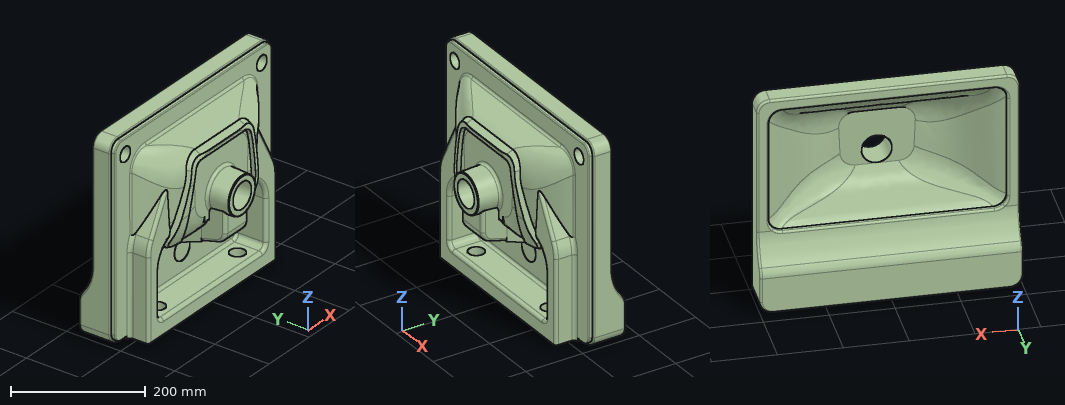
import cadquery as cq
import math


margin = 0.5

width = 400.0
height = 350.0
total_depth = 154.0
rim_y = 40.0
deck_y = 64.0
corner_radius = 20.0
top_edge_round = 3.5
hollow_radius = 80.0
crest_radius = 24.0
curve_top_z = 127.0
lip_inset = 4.0
lip_depth = 7.0
lip_overlap = 4.0
lip_edge_round = 1.5

frame_half_width = 160.0
frame_depth = 35.0
frame_shoulder_z = 162.0
frame_shoulder_radius = 60.0
frame_base_round = 6.5
frame_edge_round = 5.0
wing_tip_x = 115.0
wing_tip_z = 246.0
wing_root_x = 80.0

pocket_half_width = 133.5
pocket_bottom_z = 29.0
pocket_top_z = 162.0
pocket_floor_y = 21.0
pocket_bottom_radius = 10.5
pocket_top_radius = 48.0
pocket_mouth_round = 6.0
pocket_floor_round = 5.0

bowl_sections = [
    (23.0, 172.0, 172.0, 120.0, 319.0, 30.0),
    (0.0, 157.5, 157.5, 128.0, 313.0, 32.0),
    (-24.0, 132.0, 126.0, 134.0, 303.5, 44.0),
    (-42.0, 104.0, 90.0, 148.0, 289.5, 44.0),
    (-51.0, 68.0, 64.0, 168.0, 276.0, 32.0),
]
bowl_bottom_y = bowl_sections[-1][0]
bowl_base_round = 5.0
bowl_wall = 9.0
mouth_radius = 20.0
mouth_depth_y = 32.0
mouth_half_width = 181.0
mouth_bottom_z = 124.0
mouth_top_z = 330.0

ring_height = 5.0
ring_width = 7.0
ring_draft = 25.0
ring_depth = 28.0
ring_top_z = 282.5
ring_top_half_width = 73.0
ring_bottom_z = 150.0
ring_bottom_half_width = 100.0
ring_corner_radius = 22.0

drain_z = 200.0
drain_radius = 23.0
spigot_base_radius = 35.5
spigot_end_radius = 33.5
spigot_end_y = deck_y - total_depth
spigot_flange_round = 5.0
spigot_end_chamfer = 1.0
channel_half_width = 29.0
channel_face_y = -80.0
channel_elbow_z = 127.5
channel_foot_z = 101.0
channel_elbow_radius = 20.0
channel_edge_round = 6.0
channel_foot_half_width = 40.5
channel_flare_y = -36.0

tap_spacing = 100.0
tap_radius = 19.0
tap_z = 71.0
tap_mark_depth = 0.5
wall_hole_radius = 13.0
wall_hole_y = -7.0
corner_hole_x = 170.5
corner_hole_z = 318.0
corner_hole_radius = 13.0
corner_hole_depth = 18.0


def xz_plane(y):
    """Sketch plane at depth y: local x is X, local y is Z, extrusion runs toward -Y."""
    return cq.Workplane("XZ", origin=(0, y, 0))


def rounded_prism(y, half_width, z_low, z_high, radius, depth):
    """Rounded rectangle in the XZ plane, extruded from y toward -Y."""
    prism = xz_plane(y).center(0, (z_low + z_high) / 2).rect(2 * half_width, z_high - z_low)
    return prism.extrude(depth).edges("|Y").fillet(radius)


def bowl_body(sections):
    """Smooth solid through rounded trapezoids stacked along Y."""
    wires = []
    for y, top_half_width, bottom_half_width, z_low, z_high, radius in sections:
        corners = [
            (-bottom_half_width, z_low),
            (bottom_half_width, z_low),
            (top_half_width, z_high),
            (-top_half_width, z_high),
        ]
        slice_body = xz_plane(y).polyline(corners).close().extrude(4).edges("|Y").fillet(radius)
        wires.append(slice_body.faces(">Y").wires().val())
    return cq.Workplane(cq.Solid.makeLoft(wires, False))


def grown(sections, growth):
    """Bowl sections moved outward by growth (inward when negative)."""
    return [
        (
            y - growth,
            top_half_width + growth,
            bottom_half_width + growth,
            z_low - growth,
            z_high + growth,
            radius + growth,
        )
        for y, top_half_width, bottom_half_width, z_low, z_high, radius in sections
    ]


def box_region(half_x, y_low, y_high, z_low, z_high):
    """Selects what is centred between X, Y and Z limits, symmetric in X."""
    return cq.selectors.BoxSelector((-half_x, y_low, z_low), (half_x, y_high, z_high))


def upper_edges(plate):
    """Edges of the rim and deck faces, without the lines where the deck curve meets them."""
    edges = []
    for edge in plate.edges("not |Y").vals():
        middle = edge.Center()
        runs_along_x = edge.geomType() == "LINE" and abs(edge.tangentAt(0).x) > 0.99
        across_side_rim = runs_along_x and abs(middle.x) > mouth_half_width
        if middle.y > rim_y - margin and not across_side_rim:
            edges.append(edge)
    return edges


def make_rim():
    """Rim plate that curves up to the tap deck, with a smaller lip underneath."""
    rise = deck_y - rim_y
    turn = math.acos(1 - rise / (hollow_radius + crest_radius))
    inflection = (
        rim_y + hollow_radius * (1 - math.cos(turn)),
        curve_top_z - hollow_radius * math.sin(turn),
    )
    deck_edge_z = inflection[1] - crest_radius * math.sin(turn)
    profile = (
        cq.Workplane("YZ", origin=(-width / 2, 0, 0))
        .moveTo(lip_depth, 0)
        .lineTo(lip_depth, height)
        .lineTo(rim_y, height)
        .lineTo(rim_y, curve_top_z)
        .tangentArcPoint(inflection, relative=False)
        .tangentArcPoint((deck_y, deck_edge_z), relative=False)
        .lineTo(deck_y, 0)
        .close()
        .extrude(width)
    )
    outline = rounded_prism(deck_y, width / 2, 0, height, corner_radius, deck_y - lip_depth)
    mouth = rounded_prism(
        deck_y, mouth_half_width, mouth_bottom_z, mouth_top_z, mouth_radius, deck_y - mouth_depth_y
    )
    plate = profile.intersect(outline)
    plate = plate.faces("<Y").edges().fillet(lip_edge_round)
    plate = plate.cut(mouth)
    plate = plate.newObject(upper_edges(plate)).fillet(top_edge_round)
    lip = rounded_prism(
        lip_depth + lip_overlap,
        width / 2 - lip_inset,
        lip_inset,
        height - lip_inset,
        corner_radius - lip_inset,
        lip_depth + lip_overlap,
    )
    lip = lip.faces("<Y").edges().fillet(lip_edge_round)
    return plate.union(lip)


def make_frame():
    """Support frame with two wings that run up the flanks of the bowl."""
    half_outline = [
        (frame_half_width, 0),
        (frame_half_width, frame_shoulder_z),
        (wing_tip_x, wing_tip_z),
        (wing_root_x, frame_shoulder_z),
    ]
    mirrored = [(-x, z) for x, z in reversed(half_outline)]
    frame = xz_plane(0).polyline(half_outline + mirrored).close().extrude(frame_depth)
    shoulder_height = box_region(width, -width, width, frame_shoulder_z - 4, frame_shoulder_z + 4)
    between_wings = box_region(wing_tip_x, -width, width, 0, height)
    frame = frame.edges("|Y").edges(shoulder_height - between_wings).fillet(frame_shoulder_radius)
    skirt_width = 2 * (frame_half_width + frame_base_round + margin)
    skirt = xz_plane(lip_depth).rect(skirt_width, wing_tip_z, centered=(True, False)).extrude(lip_depth)
    frame = frame.union(skirt)
    foot = box_region(frame_half_width + margin, -margin, margin, margin, height)
    frame = frame.edges(foot).fillet(frame_base_round)
    flanks = box_region(width, -width, 0, margin, height)
    flanks = flanks - box_region(wing_tip_x, -width, 0, margin, height)
    return frame.faces("<Y").edges(flanks).fillet(frame_edge_round)


def make_pocket():
    """Space below the bowl, open toward -Y, with a rounded floor edge."""
    pocket = (
        xz_plane(pocket_floor_y)
        .center(0, (pocket_bottom_z + pocket_top_z) / 2)
        .rect(2 * pocket_half_width, pocket_top_z - pocket_bottom_z)
        .extrude(frame_depth + pocket_floor_y)
    )
    pocket = pocket.edges("|Y and <Z").fillet(pocket_bottom_radius)
    pocket = pocket.edges("|Y and >Z").fillet(pocket_top_radius)
    return pocket.faces(">Y").edges().fillet(pocket_floor_round)


def make_stand():
    """Rim, support frame and pocket with their rounded edges."""
    stand = make_rim().union(make_frame()).cut(make_pocket())
    pocket_mouth = box_region(
        pocket_half_width + margin,
        -frame_depth - margin,
        -frame_depth + margin,
        pocket_bottom_z - margin,
        pocket_top_z + margin,
    )
    return stand.edges(pocket_mouth).fillet(pocket_mouth_round)


def make_bowl():
    """Outer body of the bowl with a rounded foot where it leaves the rim."""
    bowl = bowl_body(bowl_sections)
    widest = bowl_sections[0][1]
    highest = bowl_sections[0][4]
    flange_height = height - 2 * lip_inset - frame_shoulder_z
    flange = (
        xz_plane(lip_depth)
        .center(0, frame_shoulder_z)
        .rect(2 * (widest + bowl_base_round), flange_height, centered=(True, False))
        .extrude(lip_depth)
    )
    bowl = bowl.union(flange)
    foot = box_region(widest - 4, -margin, margin, frame_shoulder_z + margin, highest)
    return bowl.edges(foot).fillet(bowl_base_round)


def make_foot_ring():
    """Raised band that follows the bowl, closed above and open at the pocket."""
    crest_y = bowl_bottom_y - ring_height
    leg_slope = (ring_bottom_half_width - ring_top_half_width) / (ring_top_z - ring_bottom_z)
    solids = []
    for inset, draft, bottom_z in (
        (0, -ring_draft, ring_bottom_z),
        (ring_width, ring_draft, ring_bottom_z - 2 * ring_depth),
    ):
        top_z = ring_top_z - inset
        top_half_width = ring_top_half_width - inset
        bottom_half_width = top_half_width + leg_slope * (ring_top_z - bottom_z)
        corners = [
            (-bottom_half_width, bottom_z),
            (-top_half_width, top_z),
            (top_half_width, top_z),
            (bottom_half_width, bottom_z),
        ]
        outline = xz_plane(crest_y).polyline(corners).close().extrude(4)
        outline = outline.edges("|Y and >Z").fillet(ring_corner_radius - inset)
        crest_wire = outline.faces(">Y").wires()
        solids.append(crest_wire.toPending().extrude(-ring_depth, taper=draft))
    band = solids[0].cut(solids[1])
    return bowl_body(grown(bowl_sections, ring_height)).intersect(band)


def channel_profile(half_width):
    """Side profile of the overflow channel with its rounded elbow, centred in X."""
    profile = (
        cq.Workplane("YZ", origin=(-half_width, 0, 0))
        .moveTo(pocket_floor_y, drain_z)
        .lineTo(channel_face_y, drain_z)
        .lineTo(channel_face_y, channel_elbow_z)
        .lineTo(pocket_floor_y, channel_foot_z)
        .close()
        .extrude(2 * half_width)
    )
    return profile.faces("<Y").edges("<Z").fillet(channel_elbow_radius)


def make_channel():
    """Overflow channel from the spigot down to the pocket floor, flared toward the floor."""
    channel = channel_profile(channel_half_width)
    channel = channel.faces("<Y").edges("not >Z").fillet(channel_edge_round)
    flare_plan = [
        (-channel_half_width, channel_flare_y),
        (channel_half_width, channel_flare_y),
        (channel_foot_half_width, pocket_floor_y),
        (-channel_foot_half_width, pocket_floor_y),
    ]
    flare = cq.Workplane("XY").polyline(flare_plan).close().extrude(drain_z)
    return channel.union(flare.intersect(channel_profile(channel_foot_half_width)))


def make_spigot():
    """Tapered drain spigot with a chamfered end and a rounded foot."""
    spigot = (
        xz_plane(bowl_bottom_y)
        .center(0, drain_z)
        .circle(spigot_base_radius)
        .workplane(offset=bowl_bottom_y - spigot_end_y)
        .circle(spigot_end_radius)
        .loft()
    )
    spigot = spigot.faces("<Y").edges().chamfer(spigot_end_chamfer)
    seat_size = 2 * (spigot_base_radius + spigot_flange_round + margin)
    seat = xz_plane(bowl_bottom_y).center(0, drain_z).rect(seat_size, seat_size)
    seat = seat.extrude(-bowl_wall)
    spigot = spigot.union(seat)
    return spigot.edges("%CIRCLE").edges(">Y").fillet(spigot_flange_round)


def make_bowl_cavity():
    """Inside of the bowl, one wall thickness within its outer body."""
    rim_section = (
        mouth_depth_y, mouth_half_width, mouth_half_width, mouth_bottom_z, mouth_top_z, mouth_radius
    )
    return bowl_body([rim_section] + grown(bowl_sections[1:], -bowl_wall))


def make_holes():
    """Drain, wall-fixing holes, blind corner holes and the shallow tap-hole marks."""
    holes = xz_plane(deck_y).center(0, drain_z).circle(drain_radius).extrude(total_depth)
    holes = holes.union(
        xz_plane(corner_hole_depth)
        .pushPoints([(-corner_hole_x, corner_hole_z), (corner_hole_x, corner_hole_z)])
        .circle(corner_hole_radius)
        .extrude(corner_hole_depth)
    )
    holes = holes.union(
        xz_plane(pocket_floor_y + tap_mark_depth)
        .pushPoints([(x, tap_z) for x in (-tap_spacing, 0, tap_spacing)])
        .circle(tap_radius)
        .extrude(tap_mark_depth)
    )
    return holes.union(
        cq.Workplane("XY")
        .pushPoints([(-tap_spacing, wall_hole_y), (tap_spacing, wall_hole_y)])
        .circle(wall_hole_radius)
        .extrude(pocket_bottom_z + pocket_floor_round)
    )


result = (
    make_stand()
    .union(make_bowl())
    .union(make_foot_ring())
    .union(make_channel())
    .union(make_spigot())
    .cut(make_bowl_cavity())
    .cut(make_holes())
)